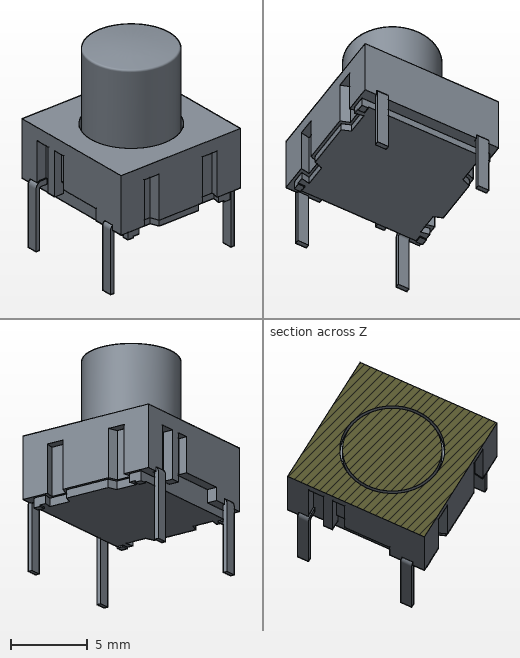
import cadquery as cq
import math


total_height = 15.0
foot_bottom = 4.0
base_bottom = 4.11
cover_bottom = 4.7
cover_top = 9.1
slot_top = 8.12
window_top = 5.61

cover_width = 10.1
base_length = 9.69
base_width = 8.61
foot_size = 0.5

button_diameter = 6.5
bore_diameter = 6.8
button_edge_radius = 0.15
dome_height = 0.21
bore_depth = cover_top - slot_top

wide_slot_edges = (-3.5, -2.38)
narrow_slot_edges = (-1.72, -0.82)
window_edges = (narrow_slot_edges[0], 2.49)
window_depth = (cover_width - base_width) / 2
narrow_slot_depth = 0.6

cover_snap_edges = (1.83, 3.08)
cover_snap_depth = 0.66
base_snap_edges = (1.66, 3.36)
base_snap_depth = 0.63
snap_inner_slant = 0.24
snap_outer_slant = 0.12

lead_span = 10.45
lead_width = 0.81
lead_thickness = 0.3
lead_offset = 3.8
lead_embedding = 0.15
lead_root = base_width / 2 - lead_embedding

left_outer_radius = 0.5
left_outer_bend_z = 4.62
left_inner_radius = 0.15
left_inner_bend_z = 4.55
right_outer_radius = 0.4
right_inner_radius = right_outer_radius - lead_thickness
right_bend_z = 4.75


def box_between(x_edges, y_edges, z_edges):
    """Axis-aligned box given by its low and high edge along each axis."""
    return (
        cq.Workplane("XY", origin=(0, 0, z_edges[0]))
        .moveTo(x_edges[0], y_edges[0])
        .lineTo(x_edges[1], y_edges[0])
        .lineTo(x_edges[1], y_edges[1])
        .lineTo(x_edges[0], y_edges[1])
        .close()
        .extrude(z_edges[1] - z_edges[0])
    )


def cut_snap_recesses(body, side_x, edges, depth, z_edges):
    """Cut two slanted-wall recesses into each of the -X and +X sides."""
    inner, outer = edges
    floor_x = side_x - depth
    recess = (
        cq.Workplane("XY", origin=(0, 0, z_edges[0]))
        .polyline([
            (side_x, inner),
            (side_x, outer),
            (floor_x, outer + snap_outer_slant),
            (floor_x, inner + snap_inner_slant),
        ])
        .close()
        .extrude(z_edges[1] - z_edges[0])
    )
    pair = recess.union(recess.mirror("XZ"))
    return body.cut(pair).cut(pair.mirror("YZ"))


def make_cover():
    """Square cover with front slots, a front window and side snap recesses."""
    half = cover_width / 2
    cover = (
        cq.Workplane("XY", origin=(0, 0, cover_bottom))
        .rect(cover_width, cover_width)
        .extrude(cover_top - cover_bottom)
    )
    front_recesses = [
        (wide_slot_edges, window_depth, slot_top),
        (narrow_slot_edges, narrow_slot_depth, slot_top),
        (window_edges, window_depth, window_top),
    ]
    for x_edges, depth, top in front_recesses:
        cover = cover.cut(box_between(x_edges, (-half, -half + depth), (cover_bottom, top)))
    cover = cut_snap_recesses(cover, half, cover_snap_edges, cover_snap_depth, (cover_bottom, slot_top))
    bore = (
        cq.Workplane("XY", origin=(0, 0, cover_top - bore_depth))
        .circle(bore_diameter / 2)
        .extrude(bore_depth)
    )
    return cover.cut(bore)


def make_base():
    """Base plate below the cover, with side recesses and four square corner feet."""
    base = (
        cq.Workplane("XY", origin=(0, 0, base_bottom))
        .rect(base_length, base_width)
        .extrude(cover_bottom - base_bottom)
    )
    base = cut_snap_recesses(
        base, base_length / 2, base_snap_edges, base_snap_depth, (base_bottom, cover_bottom)
    )
    feet = (
        cq.Workplane("XY", origin=(0, 0, foot_bottom))
        .rect(base_length - foot_size, base_width - foot_size, forConstruction=True)
        .vertices()
        .rect(foot_size, foot_size)
        .extrude(base_bottom - foot_bottom)
    )
    return base.union(feet)


def make_button():
    """Cylinder with a rounded edge and a shallow domed top."""
    radius = button_diameter / 2
    rim_radius = radius - button_edge_radius
    rim_z = total_height - dome_height
    dome_radius = (rim_radius**2 + dome_height**2) / (2 * dome_height)
    dome_mid_x = rim_radius / 2
    dome_mid_z = total_height - dome_radius + math.sqrt(dome_radius**2 - dome_mid_x**2)
    return (
        cq.Workplane("XZ")
        .moveTo(0, cover_top - bore_depth)
        .lineTo(radius, cover_top - bore_depth)
        .lineTo(radius, rim_z - button_edge_radius)
        .radiusArc((rim_radius, rim_z), -button_edge_radius)
        .threePointArc((dome_mid_x, dome_mid_z), (0, total_height))
        .close()
        .revolve(360, (0, 0, 0), (0, 1, 0))
    )


def make_lead_pair(center_x, outer_radius, outer_bend_z, inner_radius, inner_bend_z):
    """Front and back lead: a straight leg that bends inward into the body."""
    outer_y = lead_span / 2
    inner_y = outer_y - lead_thickness
    lead = (
        cq.Workplane("YZ", origin=(center_x - lead_width / 2, 0, 0))
        .moveTo(inner_y, 0)
        .lineTo(outer_y, 0)
        .lineTo(outer_y, outer_bend_z)
        .radiusArc((outer_y - outer_radius, outer_bend_z + outer_radius), -outer_radius)
        .lineTo(lead_root, outer_bend_z + outer_radius)
        .lineTo(lead_root, inner_bend_z + inner_radius)
        .lineTo(inner_y - inner_radius, inner_bend_z + inner_radius)
        .radiusArc((inner_y, inner_bend_z), inner_radius)
        .close()
        .extrude(lead_width)
    )
    return lead.union(lead.mirror("XZ"))


left_leads = make_lead_pair(
    -lead_offset, left_outer_radius, left_outer_bend_z, left_inner_radius, left_inner_bend_z
)
right_leads = make_lead_pair(
    lead_offset, right_outer_radius, right_bend_z, right_inner_radius, right_bend_z
)

result = make_cover().union(make_base()).union(make_button()).union(left_leads).union(right_leads)